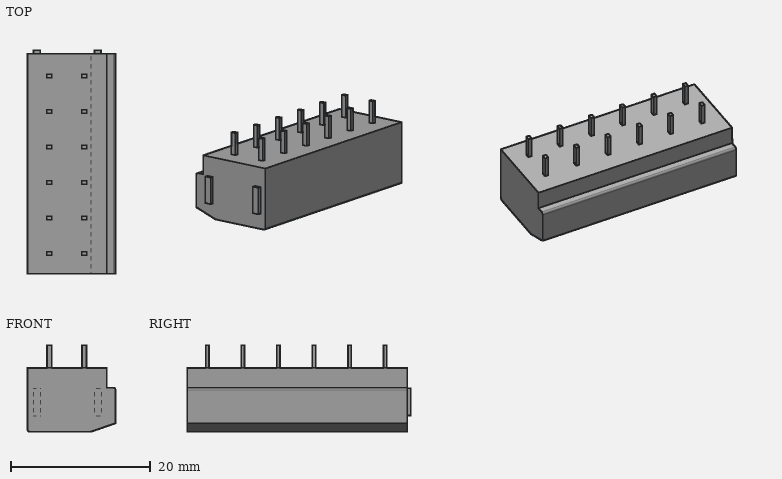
import cadquery as cq

total_length = 31.98
total_height = 12.4
body_width = 12.6

tab_depth = 0.5
body_length = total_length - tab_depth
body_height = 9.15
upper_width = 11.35
step_height = 6.33
bottom_flat_width = 9.08
slope_top_height = 1.2
corner_radius = 0.32

pin_width = 0.7
pin_thickness = 0.5
pin_height = total_height - body_height
pin_columns = 2
pin_rows = 6
column_pitch = 5.0
row_pitch = 5.1
first_column_x = 3.15
first_row_y = 2.88

tab_width = 1.0
tab_height = 3.93
tab_bottom = 2.3
tab_left_edges = (0.85, 9.55)


def make_body():
    """Stepped, sloped profile drawn in XZ and extruded along +Y."""
    profile = (
        cq.Workplane("XZ")
        .polyline([
            (0, 0),
            (bottom_flat_width, 0),
            (body_width, slope_top_height),
            (body_width, step_height),
            (upper_width, step_height),
            (upper_width, body_height),
            (0, body_height),
        ])
        .close()
    )
    body = profile.extrude(-body_length)
    middle_y = body_length / 2
    bottom_left_edge = cq.selectors.NearestToPointSelector((0, middle_y, 0))
    ledge_edge = cq.selectors.NearestToPointSelector((body_width, middle_y, step_height))
    return body.edges(bottom_left_edge).fillet(corner_radius).edges(ledge_edge).fillet(corner_radius)


def make_pins():
    """Grid of rectangular pins standing on the top face."""
    positions = [
        (first_column_x + column * column_pitch, first_row_y + row * row_pitch)
        for column in range(pin_columns)
        for row in range(pin_rows)
    ]
    return (
        cq.Workplane("XY", origin=(0, 0, body_height))
        .pushPoints(positions)
        .rect(pin_width, pin_thickness)
        .extrude(pin_height)
    )


def make_tab(left_edge):
    """Upright rectangular tab projecting from the back face."""
    return (
        cq.Workplane("XY", origin=(left_edge, body_length, tab_bottom))
        .box(tab_width, tab_depth, tab_height, centered=False)
    )


result = make_body().union(make_pins())
for tab_left_edge in tab_left_edges:
    result = result.union(make_tab(tab_left_edge))